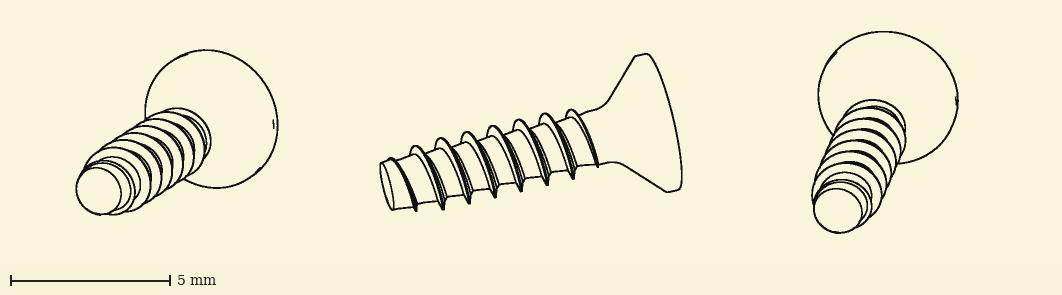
import cadquery as cq
import math

LENGTH = 9.0
HEAD_RADIUS = 4.4 / 2
RIM_HEIGHT = 0.35
RIM_ROUND = 0.03
CONE_ANGLE = math.radians(45)
NECK_RADIUS = 0.855
NECK_FILLET = 0.82
NECK_END = 2.25
NECK_SLOPE = 0.18
STUB_END_RADIUS = 0.73
TIP_DISH_RADIUS = 0.72
TIP_DISH = 0.045

THREAD_SPAN = 6.795
SPAN_TURNS = 8
PITCH = THREAD_SPAN / SPAN_TURNS
FIRST_CREST = 2.41

CREST_RADIUS = 1.11
CREST_WIDTH = 0.04
TIP_FLANK_SLOPE = 0.3
HEAD_FLANK_SLOPE = 0.36
BEVEL_RADIUS = 0.85
STEP_RADIUS = 0.82
ROOT_RADIUS = 0.75
ROOT_SLOPE = 0.13

RUN_IN = (-0.6, 0.75)
RUN_OUT = (7.6, 6.15)
STEP_RUN_OUT = (7.8, 7.5)
MIN_SCALE = 0.05

FIRST_TURN = -0.9
TURN_COUNT = 10
POINTS_PER_TURN = 16


def make_core():
    """Head, neck and a tapered stub that ends inside the threaded rod, as one revolved outline."""
    fillet_center = NECK_RADIUS + NECK_FILLET
    cone_end_radius = fillet_center - NECK_FILLET * math.cos(CONE_ANGLE)
    cone_end = RIM_HEIGHT + (HEAD_RADIUS - cone_end_radius) / math.tan(CONE_ANGLE)
    fillet_end = cone_end + NECK_FILLET * math.sin(CONE_ANGLE)
    fillet_middle = (
        fillet_center - NECK_FILLET * math.cos(CONE_ANGLE / 2),
        fillet_end - NECK_FILLET * math.sin(CONE_ANGLE / 2),
    )
    taper_end = NECK_END + (NECK_RADIUS - STUB_END_RADIUS) / NECK_SLOPE
    core = (
        cq.Workplane("XZ")
        .lineTo(HEAD_RADIUS, 0)
        .lineTo(HEAD_RADIUS, RIM_HEIGHT)
        .lineTo(cone_end_radius, cone_end)
        .threePointArc(fillet_middle, (NECK_RADIUS, fillet_end))
        .lineTo(NECK_RADIUS, NECK_END)
        .lineTo(STUB_END_RADIUS, taper_end)
        .lineTo(0, taper_end)
        .close()
        .revolve(360, (0, 0, 0), (0, 1, 0))
    )
    rim_edges = cq.selectors.RadiusNthSelector(-1)
    return core.edges("%CIRCLE").edges(rim_edges).fillet(RIM_ROUND)


def fade(turn, *ramps):
    """Scale from MIN_SCALE to 1, linear along each (faded turn, full turn) ramp."""
    levels = [(turn - faded) / (full - faded) for faded, full in ramps]
    return max(MIN_SCALE, min(1.0, *levels))


def thread_profile(turn):
    """One pitch of the thread as (axial offset from the crest, radius), from head to tip.

    The head-side flank ends in a 45-degree bevel at the root.
    """
    tooth = fade(turn, RUN_IN, RUN_OUT)
    step_height = (STEP_RADIUS - ROOT_RADIUS) * fade(turn, STEP_RUN_OUT)
    taper_end = (STEP_RADIUS - ROOT_RADIUS) / ROOT_SLOPE
    half_crest = tooth * CREST_WIDTH / 2
    crest = ROOT_RADIUS + step_height + tooth * (CREST_RADIUS - STEP_RADIUS)
    bevel = ROOT_RADIUS + tooth * (BEVEL_RADIUS - ROOT_RADIUS)
    bevel_top = -half_crest - tooth * HEAD_FLANK_SLOPE * (CREST_RADIUS - BEVEL_RADIUS)
    bevel_foot = bevel_top - (bevel - ROOT_RADIUS)
    tip_foot = half_crest + tooth * TIP_FLANK_SLOPE * (CREST_RADIUS - STEP_RADIUS)
    return [
        (taper_end - PITCH, ROOT_RADIUS),
        (bevel_foot, ROOT_RADIUS),
        (bevel_top, bevel),
        (-half_crest, crest),
        (half_crest, crest),
        (tip_foot, ROOT_RADIUS + step_height * (1 - tip_foot / taper_end)),
        (taper_end, ROOT_RADIUS),
    ]


def profile_points(turn):
    """Corners of the thread profile in space, in the half-plane of this turn."""
    angle = 2 * math.pi * turn
    crest_height = FIRST_CREST + PITCH * turn
    return [
        cq.Vector(radius * math.cos(angle), radius * math.sin(angle), crest_height + offset)
        for offset, radius in thread_profile(turn)
    ]


def ramp_face(rail):
    """Helical ramp from the axis out to an end rail of the rod."""
    foot = cq.Vector(0, 0, rail.startPoint().z)
    top = cq.Vector(0, 0, rail.endPoint().z)
    return cq.Face.makeRuledSurface(cq.Edge.makeLine(foot, top), rail)


def radial_face(turn):
    """Flat wall in the half-plane of this turn, from the axis out to the thread profile."""
    points = profile_points(turn)
    axis_points = [cq.Vector(0, 0, points[-1].z), cq.Vector(0, 0, points[0].z)]
    return cq.Face.makeFromWires(cq.Wire.makePolygon(points + axis_points, close=True))


def make_threaded_rod():
    """Solid threaded shank; each turn of its skin meets the next along a shared helix."""
    faces = []
    for number in range(TURN_COUNT):
        start = FIRST_TURN + number
        sections = [profile_points(start + step / POINTS_PER_TURN) for step in range(POINTS_PER_TURN + 1)]
        rails = [cq.Edge.makeSpline(list(points)) for points in zip(*sections)]
        faces += [cq.Face.makeRuledSurface(*pair) for pair in zip(rails, rails[1:])]
        if number == 0:
            faces.append(ramp_face(rails[0]))
        if number == TURN_COUNT - 1:
            faces.append(ramp_face(rails[-1]))
    faces += [radial_face(FIRST_TURN), radial_face(FIRST_TURN + TURN_COUNT)]
    return cq.Workplane(cq.Solid.makeSolid(cq.Shell.makeShell(faces)).fix())


thread_length = LENGTH - NECK_END
thread_zone = cq.Workplane("XY").workplane(offset=NECK_END).circle(HEAD_RADIUS).extrude(thread_length)
threaded_rod = make_threaded_rod().intersect(thread_zone)
tip_dish = cq.Workplane(
    cq.Solid.makeCone(0, TIP_DISH_RADIUS, TIP_DISH, pnt=cq.Vector(0, 0, LENGTH - TIP_DISH))
)
screw = make_core().union(threaded_rod).cut(tip_dish)

result = screw.rotate((0, 0, 0), (1, 0, 0), 90)